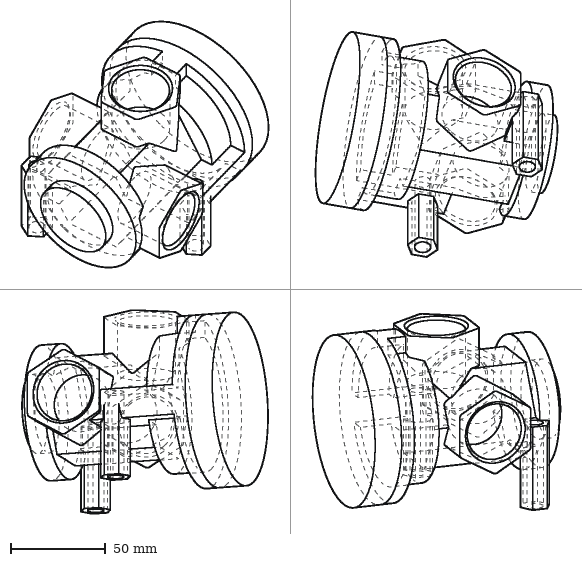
import cadquery as cq
import math


LENGTH = 114.5
KNOB_LENGTH = 6.4
DISC_BACK = 17.5
COLLAR_FRONT = 74.9
FLANGE_FRONT = 92.3
COVER_LENGTH = 15.0
COVER_FRONT = LENGTH - COVER_LENGTH
KNOB_DIAMETER = 42.0
DISC_DIAMETER = 72.0
COLLAR_DIAMETER = 74.1
FLANGE_DIAMETER = 92.0
FLANGE_RADIUS = FLANGE_DIAMETER / 2

CORE_FLATS = 52.4
CORE_CORNERS = CORE_FLATS / math.cos(math.pi / 6)

PORT_SPAN = 94.0
PORT_REACH = PORT_SPAN / 2
PORT_FLATS = 40.1
PORT_CORNERS = PORT_FLATS / math.cos(math.pi / 6)
PORT_EDGE_RADIUS = 2.3
BORE_DIAMETER = 30.6
BORE_DEPTH = 30.0
BORE_CHAMFER = 1.6
LEFT_PORT_Y = 47.0
RIGHT_PORT_Y = 32.0
TOP_PORT_Y = 62.2

POST_FLATS = 14.2
POST_CORNERS = POST_FLATS / math.cos(math.pi / 6)
POST_HOLE_DIAMETER = 8.5
POST_X = 38.1
LEFT_POST_Y = 21.1
RIGHT_POST_Y = 58.0
POST_LENGTH = FLANGE_RADIUS

WEB_THICKNESS = 15.5
RIB_LEFT = -7.0
RIB_RIGHT = RIB_LEFT + WEB_THICKNESS


def disc_along_y(diameter, start, end):
    """Cylinder on the main axis between two Y positions."""
    return cq.Workplane("XZ", origin=(0, start, 0)).circle(diameter / 2).extrude(start - end)


def box_between(x_span, y_span, z_span):
    """Box given by its lower and upper limits on each axis."""
    sizes = [span[1] - span[0] for span in (x_span, y_span, z_span)]
    corner = (x_span[0], y_span[0], z_span[0])
    return cq.Workplane("XY").box(*sizes, centered=False).translate(corner)


def port_plane(y, outward):
    """Plane at the main axis facing a port, its local X along a corner of the port hexagon."""
    corner_direction = (1, 0, 0) if outward[2] else (0, 0, 1)
    return cq.Plane(origin=(0, y, 0), xDir=corner_direction, normal=outward)


def make_port(plane):
    """Solid hexagonal port with rounded corner edges."""
    prism = cq.Workplane(plane).polygon(6, PORT_CORNERS).extrude(PORT_REACH)
    return prism.edges(cq.selectors.ParallelDirSelector(plane.zDir)).fillet(PORT_EDGE_RADIUS)


def make_bore(plane):
    """Flat-bottomed bore of a port, widened by a chamfer at the mouth."""
    half_section = [
        (0, PORT_REACH - BORE_DEPTH),
        (BORE_DIAMETER / 2, PORT_REACH - BORE_DEPTH),
        (BORE_DIAMETER / 2, PORT_REACH - BORE_CHAMFER),
        (BORE_DIAMETER / 2 + BORE_CHAMFER, PORT_REACH),
        (0, PORT_REACH),
    ]
    section_plane = cq.Plane(origin=plane.origin, xDir=plane.xDir, normal=-plane.yDir)
    return cq.Workplane(section_plane).polyline(half_section).close().revolve(360, (0, 0), (0, 1))


def make_post(x, y):
    """Hexagonal post hanging down from Z = 0."""
    post = cq.Workplane("XY").polygon(6, POST_CORNERS).extrude(-POST_LENGTH)
    return post.rotate((0, 0, 0), (0, 0, 1), 90).translate((x, y, 0))


def make_post_hole(x, y):
    """Vertical hole through a post that carries on upward, so it nicks the rim of the front disc."""
    start = cq.Workplane("XY", origin=(x, y, -POST_LENGTH))
    return start.circle(POST_HOLE_DIAMETER / 2).extrude(POST_LENGTH + DISC_DIAMETER / 2)


def make_core():
    """Knob, front disc, hexagonal core, collar and rear flange."""
    hexagon = cq.Workplane("XZ", origin=(0, DISC_BACK, 0)).polygon(6, CORE_CORNERS)
    core = hexagon.extrude(DISC_BACK - COLLAR_FRONT)
    core = core.union(disc_along_y(KNOB_DIAMETER, 0, KNOB_LENGTH))
    core = core.union(disc_along_y(DISC_DIAMETER, KNOB_LENGTH, DISC_BACK))
    core = core.union(disc_along_y(COLLAR_DIAMETER, COLLAR_FRONT, FLANGE_FRONT))
    return core.union(disc_along_y(FLANGE_DIAMETER, FLANGE_FRONT, COVER_FRONT))


def make_webs():
    """Top rib and right web trimmed to the flange diameter, and the web to the left post."""
    web_z = (-WEB_THICKNESS, 0)
    top_rib = box_between((RIB_LEFT, RIB_RIGHT), (TOP_PORT_Y, FLANGE_FRONT), (0, FLANGE_RADIUS))
    right_web = box_between((0, FLANGE_RADIUS), (RIGHT_PORT_Y, FLANGE_FRONT), web_z)
    flange_envelope = disc_along_y(FLANGE_DIAMETER, 0, COVER_FRONT)
    left_web = box_between((-POST_X, 0), (DISC_BACK, LEFT_POST_Y + POST_CORNERS / 2), web_z)
    return top_rib.union(right_web).intersect(flange_envelope).union(left_web)


def make_housing():
    """Housing with three ports and two posts, as one solid."""
    port_planes = [
        port_plane(LEFT_PORT_Y, (-1, 0, 0)),
        port_plane(RIGHT_PORT_Y, (1, 0, 0)),
        port_plane(TOP_PORT_Y, (0, 0, 1)),
    ]
    post_places = [(-POST_X, LEFT_POST_Y), (POST_X, RIGHT_POST_Y)]

    housing = make_core().union(make_webs())
    for plane in port_planes:
        housing = housing.union(make_port(plane))
    for x, y in post_places:
        housing = housing.union(make_post(x, y))
    for plane in port_planes:
        housing = housing.cut(make_bore(plane))
    for x, y in post_places:
        housing = housing.cut(make_post_hole(x, y))
    return housing


def make_cover():
    """Plain round cover against the rear of the flange."""
    return disc_along_y(FLANGE_DIAMETER, COVER_FRONT, LENGTH)


housing = make_housing()
cover = make_cover()

result = cq.Compound.makeCompound([housing.val(), cover.val()])